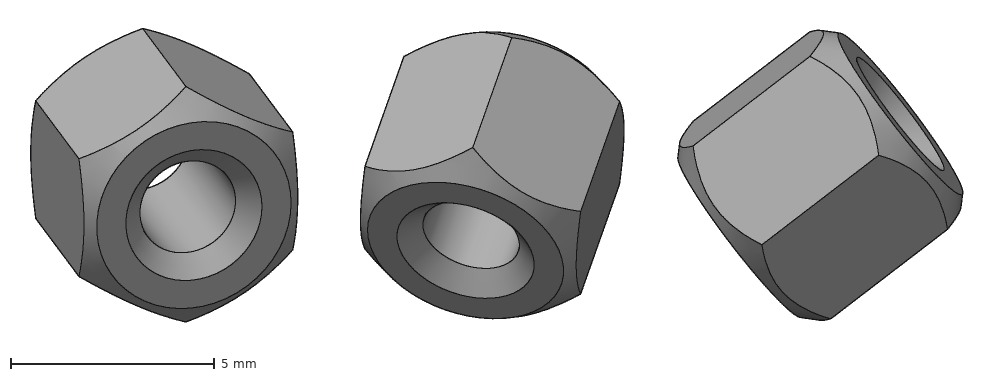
import cadquery as cq

length = 5.0
across_corners = 6.35
end_face_diameter = 5.0
bore_diameter = 2.46
countersink_diameter = 3.5

corner_radius = across_corners / 2
end_face_radius = end_face_diameter / 2
bore_radius = bore_diameter / 2
countersink_radius = countersink_diameter / 2

chamfer = corner_radius - end_face_radius
countersink_depth = countersink_radius - bore_radius
half_length = length / 2


def revolve_about_x(points):
    """Turn a closed (x, radius) outline around the X axis."""
    return cq.Workplane("XY").polyline(points).close().revolve(360, (0, 0, 0), (1, 0, 0))


def hexagonal_bar():
    """Bar centred on the origin, with flats facing along Y."""
    return (
        cq.Workplane("YZ")
        .polygon(6, across_corners)
        .extrude(half_length, both=True)
        .rotate((0, 0, 0), (1, 0, 0), 90)
    )


def chamfered_envelope():
    """Cylinder through the hexagon corners, coned down to the round end faces."""
    return revolve_about_x([
        (-half_length, 0),
        (-half_length, end_face_radius),
        (-half_length + chamfer, corner_radius),
        (half_length - chamfer, corner_radius),
        (half_length, end_face_radius),
        (half_length, 0),
    ])


def countersunk_bore():
    """Through bore with a countersink at each end."""
    return revolve_about_x([
        (-half_length, 0),
        (-half_length, countersink_radius),
        (-half_length + countersink_depth, bore_radius),
        (half_length - countersink_depth, bore_radius),
        (half_length, countersink_radius),
        (half_length, 0),
    ])


result = hexagonal_bar().intersect(chamfered_envelope()).cut(countersunk_bore())